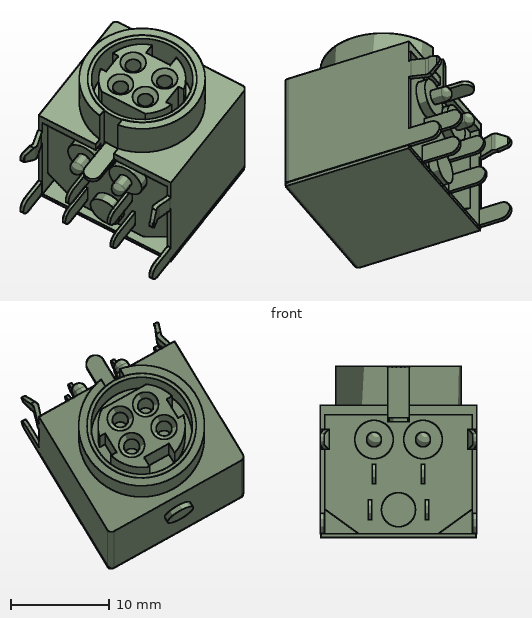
import cadquery as cq


WIDTH = 16.0
OVERALL_DEPTH = 18.5
DEPTH = 14.4
SHELL_TOP = 13.5
TOTAL_HEIGHT = 17.5
SHEET = 0.4
BEND_RADIUS = 0.5
SIDE_WALL = 0.46
FLOOR_INSET = 0.07
FLOOR_BEND_RADIUS = 0.37

RECESS_DEPTH = 1.0
LID_UNDERSIDE = 12.52
CORNER_RUN = 3.46
CORNER_RISE = 2.52

SOCKET_Y = 7.1
COLLAR_RADIUS = 6.42
SLEEVE_RADIUS = 5.57
SLEEVE_INNER_RADIUS = 5.16
SLEEVE_DROP = 0.07

CORE_RADIUS = 4.44
CORE_FLAT = 3.57
TOP_KEY_WIDTH = 2.95
TOP_KEY_FLOOR = 3.03
SIDE_KEY_WIDTH = 2.33
SIDE_KEY_FLOOR = 3.63

HOLE_RADIUS = 0.8
HOLE_MOUTH_RADIUS = 1.31
HOLE_POSITIONS = [(-1.9, 1.28), (1.9, 1.28), (-1.5, -1.75), (1.5, -1.75)]

SLOT_WIDTH = 2.2
SLOT_FLOOR = 11.8
TAB_WIDTH = 1.89
TAB_THICKNESS = 0.45
TAB_EMBED = 0.18

PIN_REACH = 3.22
BLADE_THICKNESS = 0.35
BLADE_WIDTH = 2.04
BLADE_POSITIONS = [(2.52, 6.5), (2.89, 2.83)]

PEG_X = 2.5
PEG_Z = 10.0
PEG_RADIUS = 0.75
PEG_REACH = 2.0
PEG_PAD_RADIUS = 1.96
LOWER_PAD_RADIUS = 1.74
LOWER_PAD_Z = 2.85

KNOB_RADIUS = 1.52
KNOB_Z = 8.5
KNOB_LENGTH = 0.6

FOOT_REACH = OVERALL_DEPTH - DEPTH - KNOB_LENGTH
FOOT_WIDTH = 2.05
FOOT_BASE = 0.43
CLIP_Z = 10.03
CLIP_CREST_Y = -1.83
CLIP_CREST = 1.0
CLIP_SLANT_GROWTH = 0.11
CLIP_ROOT_LENGTH = 0.22
CLIP_BEND_RADIUS = 0.55
CLIP_TAPER_START = -2.22
CLIP_TAPER_END = -3.18
CLIP_TIP_HALF_WIDTH = 0.55


def box(x0, x1, y0, y1, z0, z1):
    return cq.Workplane("XY").box(x1 - x0, y1 - y0, z1 - z0, centered=False).translate((x0, y0, z0))


def rod_y(radius, x, z, y0, y1):
    """Cylinder along Y from y0 to y1."""
    return cq.Workplane("XZ", origin=(x, y0, z)).circle(radius).extrude(y0 - y1)


def rod_z(radius, x, y, z0, z1):
    """Cylinder along Z from z0 to z1."""
    return cq.Workplane("XY", origin=(x, y, z0)).circle(radius).extrude(z1 - z0)


def round_tongue(plane, origin, width, root_y, reach, thickness):
    """Flat tongue pointing to -Y with a full-round end, centred on its origin."""
    half = width / 2

    def at(across, y):
        return (across, y) if plane == "XY" else (y, across)

    return (
        cq.Workplane(plane, origin=origin)
        .moveTo(*at(-half, root_y))
        .lineTo(*at(-half, half - reach))
        .threePointArc(at(0, -reach), at(half, half - reach))
        .lineTo(*at(half, root_y))
        .close()
        .extrude(thickness / 2, both=True)
    )


def make_shell():
    half = WIDTH / 2
    shell = box(-half, half, 0, DEPTH, SHEET, SHELL_TOP).edges("|Z and >Y").fillet(BEND_RADIUS)
    floor_half = half - FLOOR_INSET
    floor = box(-floor_half, floor_half, FLOOR_INSET, DEPTH, 0, SHEET)
    folded = floor.edges("<Z and >Y").fillet(FLOOR_BEND_RADIUS)
    plan = floor.edges("|Z and >Y").fillet(BEND_RADIUS)
    return shell.union(folded.intersect(plan))


def cut_recess(body):
    inner = WIDTH / 2 - SIDE_WALL
    body = body.cut(box(-inner, inner, 0, RECESS_DEPTH, SHEET, LID_UNDERSIDE))
    for side in (-1, 1):
        corner = (
            cq.Workplane("XZ")
            .moveTo(side * inner, SHEET)
            .lineTo(side * (inner - CORNER_RUN), SHEET)
            .lineTo(side * inner, SHEET + CORNER_RISE)
            .close()
            .extrude(-(DEPTH - SHEET))
        )
        body = body.cut(corner)
    return body


def add_pads_and_pegs(body):
    body = body.union(rod_y(LOWER_PAD_RADIUS, 0, LOWER_PAD_Z, 0, RECESS_DEPTH))
    for x in (-PEG_X, PEG_X):
        body = body.union(rod_y(PEG_PAD_RADIUS, x, PEG_Z, 0, RECESS_DEPTH))
        dome_y = PEG_RADIUS - PEG_REACH
        body = body.union(rod_y(PEG_RADIUS, x, PEG_Z, dome_y, 0))
        body = body.union(cq.Workplane("XY").sphere(PEG_RADIUS).translate((x, dome_y, PEG_Z)))
    return body


def add_socket(body):
    body = body.union(rod_z(COLLAR_RADIUS, 0, SOCKET_Y, SHELL_TOP, TOTAL_HEIGHT))
    sleeve_top = TOTAL_HEIGHT - SLEEVE_DROP
    body = body.cut(rod_z(SLEEVE_RADIUS, 0, SOCKET_Y, sleeve_top, TOTAL_HEIGHT))
    body = body.cut(rod_z(SLEEVE_INNER_RADIUS, 0, SOCKET_Y, SHELL_TOP, TOTAL_HEIGHT))
    return body.union(make_core())


def make_core():
    floor = SHELL_TOP
    top = TOTAL_HEIGHT - SLEEVE_DROP
    r = CORE_RADIUS
    core = rod_z(r, 0, 0, floor, top)
    core = core.cut(box(-r, r, -r, -CORE_FLAT, floor, top))
    core = core.cut(box(-TOP_KEY_WIDTH / 2, TOP_KEY_WIDTH / 2, TOP_KEY_FLOOR, r, floor, top))
    side_key = box(SIDE_KEY_FLOOR, r, -SIDE_KEY_WIDTH / 2, SIDE_KEY_WIDTH / 2, floor, top)
    core = core.cut(side_key).cut(side_key.mirror("YZ"))
    mouth = HOLE_MOUTH_RADIUS - HOLE_RADIUS
    hole = (
        cq.Workplane("XZ")
        .moveTo(0, floor)
        .lineTo(HOLE_RADIUS, floor)
        .lineTo(HOLE_RADIUS, top - mouth)
        .lineTo(HOLE_MOUTH_RADIUS, top)
        .lineTo(0, top)
        .close()
        .revolve(360, (0, 0, 0), (0, 1, 0))
    )
    for x, y in HOLE_POSITIONS:
        core = core.cut(hole.translate((x, y, 0)))
    return core.translate((0, SOCKET_Y, 0))


def add_ground_tab(body):
    half = SLOT_WIDTH / 2
    slot = box(-half, half, 0, SOCKET_Y, SLOT_FLOOR, TOTAL_HEIGHT)
    slot = slot.cut(rod_z(SLEEVE_RADIUS, 0, SOCKET_Y, SLOT_FLOOR, TOTAL_HEIGHT))
    root_y = SOCKET_Y - SLEEVE_RADIUS + TAB_EMBED
    tab_z = SLOT_FLOOR + TAB_THICKNESS / 2
    tab = round_tongue("XY", (0, 0, tab_z), TAB_WIDTH, root_y, PIN_REACH, TAB_THICKNESS)
    return body.cut(slot).union(tab)


def add_blades(body):
    for offset, z in BLADE_POSITIONS:
        for x in (-offset, offset):
            blade = round_tongue("YZ", (x, 0, z), BLADE_WIDTH, RECESS_DEPTH, PIN_REACH, BLADE_THICKNESS)
            body = body.union(blade)
    return body


def make_clip():
    """Bowed snap clip on the -X side, bent inwards and tapering to a rounded tip."""
    crest_outside = CLIP_CREST - SHEET - CLIP_SLANT_GROWTH
    crest_zone = ((0, CLIP_CREST_Y - SHEET, 0), (WIDTH, CLIP_CREST_Y + SHEET, FOOT_WIDTH))
    bowed = (
        cq.Workplane("XY")
        .lineTo(0, -CLIP_ROOT_LENGTH)
        .lineTo(crest_outside, CLIP_CREST_Y)
        .lineTo(0, CLIP_TAPER_END)
        .lineTo(0, -FOOT_REACH)
        .lineTo(SHEET, -FOOT_REACH)
        .lineTo(SHEET, CLIP_TAPER_END - CLIP_SLANT_GROWTH)
        .lineTo(CLIP_CREST, CLIP_CREST_Y)
        .lineTo(SIDE_WALL, -CLIP_ROOT_LENGTH)
        .lineTo(SIDE_WALL, 0)
        .close()
        .extrude(FOOT_WIDTH)
        .edges(cq.selectors.BoxSelector(*crest_zone))
        .fillet(CLIP_BEND_RADIUS)
        .translate((-WIDTH / 2, 0, CLIP_Z - FOOT_WIDTH / 2))
    )
    half = FOOT_WIDTH / 2
    outline = (
        cq.Workplane("YZ", origin=(-WIDTH / 2, 0, CLIP_Z))
        .moveTo(0, -half)
        .lineTo(CLIP_TAPER_START, -half)
        .lineTo(CLIP_TAPER_END, -CLIP_TIP_HALF_WIDTH)
        .threePointArc((-FOOT_REACH, 0), (CLIP_TAPER_END, CLIP_TIP_HALF_WIDTH))
        .lineTo(CLIP_TAPER_START, half)
        .lineTo(0, half)
        .close()
        .extrude(CLIP_CREST)
    )
    return bowed.intersect(outline)


def add_feet_and_clips(body):
    clip = make_clip()
    body = body.union(clip).union(clip.mirror("YZ"))
    foot_x = (WIDTH - SHEET) / 2
    for x in (-foot_x, foot_x):
        origin = (x, 0, FOOT_BASE + FOOT_WIDTH / 2)
        body = body.union(round_tongue("YZ", origin, FOOT_WIDTH, SHEET, FOOT_REACH, SHEET))
    return body


part = cut_recess(make_shell())
part = add_pads_and_pegs(part)
part = add_socket(part)
part = add_ground_tab(part)
part = add_blades(part)
part = add_feet_and_clips(part)
result = part.union(rod_y(KNOB_RADIUS, 0, KNOB_Z, DEPTH, DEPTH + KNOB_LENGTH))